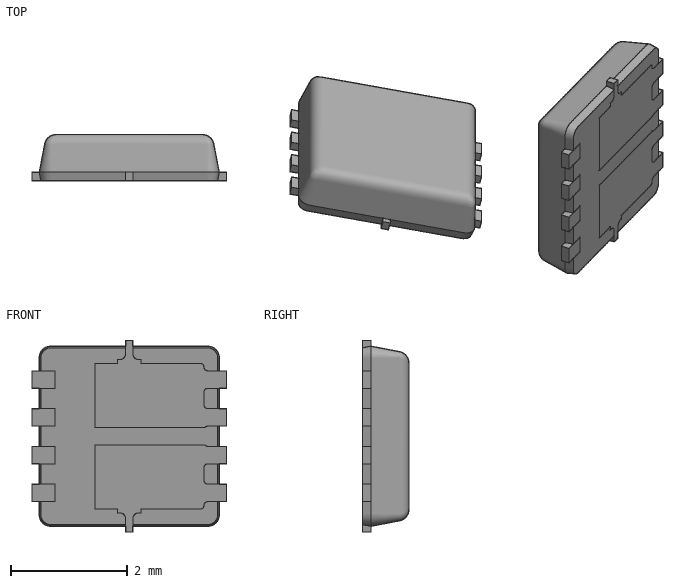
import cadquery as cq
import math

overall_length = 3.35
overall_width = 3.3
overall_height = 0.8

housing_size = 3.102
corner_radius = 0.2
draft_angle = 11.0
back_edge_radius = 0.2

frame_thickness = 0.15
lead_width = 0.3
lead_pitch = 0.65
lead_count = 4
lead_length = 0.4

pad_left = -0.593
pad_right = 1.283
pad_inner = 0.155
pad_outer = 1.25
pad_corner_radius = 0.05
lead_root_radius = 0.07

tie_bar_width = 0.127
tie_root_radius = 0.097
shoulder_width = 0.402
shoulder_top = 1.32

lead_tip = overall_length / 2
lead_centers = [(i - (lead_count - 1) / 2) * lead_pitch for i in range(lead_count)]


def make_lead(center_z):
    """Rectangular lead that sticks out of the -X side of the housing."""
    return (
        cq.Workplane("XZ")
        .center(-lead_tip + lead_length / 2, center_z)
        .rect(lead_length, lead_width)
        .extrude(-frame_thickness)
    )


def make_upper_pad():
    """Die pad of the +Z half, with its two leads and its tie bar in one piece."""
    inner_lead, outer_lead = lead_centers[-2:]
    half_lead = lead_width / 2
    root_x = pad_right + lead_root_radius
    half_bar = tie_bar_width / 2
    half_shoulder = shoulder_width / 2
    bar_root_x = half_bar + tie_root_radius
    bar_root_z = shoulder_top + tie_root_radius

    inner_edge = inner_lead - half_lead
    arc_rise = lead_root_radius - (inner_edge - pad_inner)
    cut_arc_x = root_x - math.sqrt(lead_root_radius**2 - arc_rise**2)

    outline = (
        cq.Workplane("XZ")
        .moveTo(pad_left, pad_inner)
        .lineTo(cut_arc_x, pad_inner)
        .radiusArc((root_x, inner_edge), lead_root_radius)
        .lineTo(lead_tip, inner_edge)
        .lineTo(lead_tip, inner_lead + half_lead)
        .lineTo(root_x, inner_lead + half_lead)
        .radiusArc((pad_right, inner_lead + half_lead + lead_root_radius), lead_root_radius)
        .lineTo(pad_right, outer_lead - half_lead - lead_root_radius)
        .radiusArc((root_x, outer_lead - half_lead), lead_root_radius)
        .lineTo(lead_tip, outer_lead - half_lead)
        .lineTo(lead_tip, outer_lead + half_lead)
        .lineTo(root_x, outer_lead + half_lead)
        .radiusArc((pad_right, outer_lead + half_lead + lead_root_radius), lead_root_radius)
        .lineTo(pad_right, pad_outer - pad_corner_radius)
        .radiusArc((pad_right - pad_corner_radius, pad_outer), -pad_corner_radius)
        .lineTo(half_shoulder, pad_outer)
        .lineTo(half_shoulder, shoulder_top)
        .lineTo(bar_root_x, shoulder_top)
        .radiusArc((half_bar, bar_root_z), tie_root_radius)
        .lineTo(half_bar, overall_width / 2)
        .lineTo(-half_bar, overall_width / 2)
        .lineTo(-half_bar, bar_root_z)
        .radiusArc((-bar_root_x, shoulder_top), tie_root_radius)
        .lineTo(-half_shoulder, shoulder_top)
        .lineTo(-half_shoulder, pad_outer)
        .lineTo(pad_left, pad_outer)
        .close()
    )
    return outline.extrude(-frame_thickness)


def make_draft_block(plane, height):
    """Rounded square block that narrows with height above the parting plane."""
    profile = cq.Sketch().rect(housing_size, housing_size).vertices().fillet(corner_radius)
    return (
        cq.Workplane(plane, origin=(0, frame_thickness, 0))
        .placeSketch(profile)
        .extrude(height, taper=draft_angle)
    )


def make_housing(frame_parts):
    """Housing drafted both ways from the parting plane, recessed for the lead frame."""
    back = make_draft_block("ZX", overall_height - frame_thickness)
    back = back.faces(">Y").edges().fillet(back_edge_radius)
    front = make_draft_block("XZ", frame_thickness)
    housing = back.union(front)
    for part in frame_parts:
        housing = housing.cut(part)
    return housing


leads = [make_lead(center_z) for center_z in lead_centers]
upper_pad = make_upper_pad()
lower_pad = upper_pad.mirror("XY")
pads = [upper_pad, lower_pad]
housing = make_housing(leads + pads)

result = cq.Compound.makeCompound(
    [housing.val()] + [lead.val() for lead in leads] + [pad.val() for pad in pads]
)